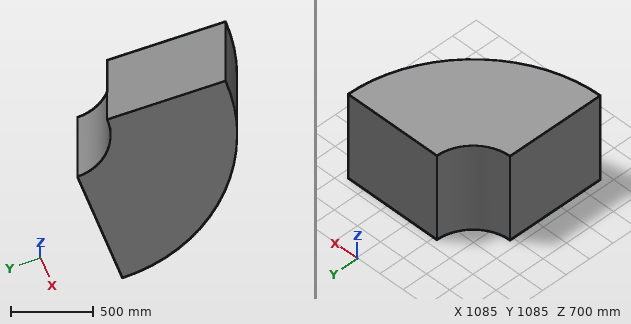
import cadquery as cq
import math

outer_radius = 1085.0
inner_radius = 315.0
height = 700.0

mid_direction = math.sqrt(0.5)


def arc_midpoint(radius):
    """Point halfway along a quarter arc of the given radius."""
    return (radius * mid_direction, -radius * mid_direction)


result = (
    cq.Workplane("XY")
    .moveTo(inner_radius, 0)
    .lineTo(outer_radius, 0)
    .threePointArc(arc_midpoint(outer_radius), (0, -outer_radius))
    .lineTo(0, -inner_radius)
    .threePointArc(arc_midpoint(inner_radius), (inner_radius, 0))
    .close()
    .extrude(height)
)